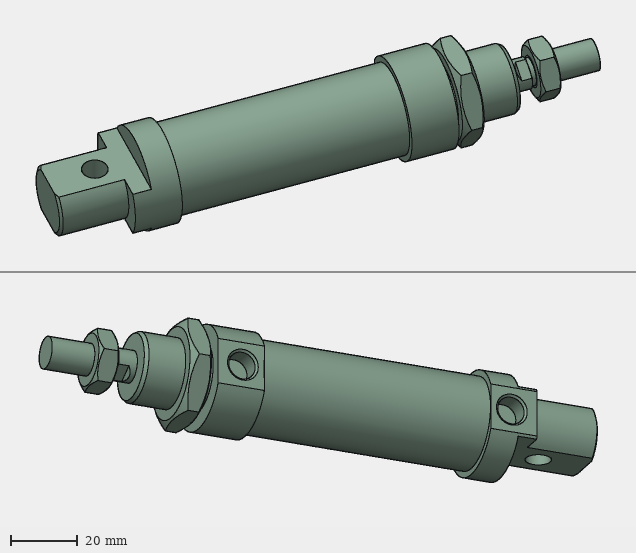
import cadquery as cq
import math

TOTAL_LENGTH = 176.0

BODY_DIA = 29.0
CAP_DIA = 33.0
NECK_DIA = 22.0
ROD_DIA = 10.0
ROD_GROOVE_DIA = 8.8
PORT_DIA = 8.6
PORT_MOUTH_DIA = 10.0
PIVOT_HOLE_DIA = 8.0

LUG_LENGTH = 21.8
REAR_CAP_FRONT = 37.0
CAP_LENGTH = REAR_CAP_FRONT - LUG_LENGTH
FRONT_CAP_REAR = 110.9
FRONT_CAP_FRONT = FRONT_CAP_REAR + CAP_LENGTH
NECK_END = 148.2
PIVOT_Y = 15.1
REAR_PORT_Y = 30.1
FRONT_PORT_Y = 118.0

LUG_THICKNESS = 16.2
STEP_LENGTH = 6.0
PORT_FLAT_X = -14.8
PORT_DEPTH = 7.0
NECK_CHAMFER_LENGTH = 1.2
NECK_CHAMFER_DEPTH = 0.7
LUG_CHAMFER_LENGTH = 0.7
LUG_CHAMFER_DEPTH = 1.2

MOUNT_NUT_ACROSS_FLATS = 30.1
MOUNT_NUT_REAR = 128.0
MOUNT_NUT_WIDTH = 7.0
LOCK_NUT_ACROSS_FLATS = 17.0
LOCK_NUT_REAR = 155.5
LOCK_NUT_WIDTH = 6.5
NUT_CHAMFER_ANGLE = 30.0
NUT_FACE_RATIO = 0.95

ROD_GROOVE_START = 154.2
WRENCH_ACROSS_FLATS = 8.0
WRENCH_FLAT_LENGTH = 3.3
WRENCH_FLAT_ANGLE = 60.0


def cylinder(diameter, start, end):
    """Solid cylinder on the Y axis from start to end."""
    return (
        cq.Workplane("XZ", origin=(0, start, 0))
        .circle(diameter / 2)
        .extrude(start - end)
    )


def revolved(profile):
    """Turn a closed (radius, y) outline about the Y axis."""
    return cq.Workplane("XY").polyline(profile).close().revolve(360, (0, 0), (0, 1))


def cut_port(housing, y):
    """Cut a chamfered blind port into the port flat, centred at y."""
    port = cq.Workplane("YZ", origin=(PORT_FLAT_X, y, 0)).circle(PORT_DIA / 2).extrude(PORT_DEPTH)
    mouth_depth = (PORT_MOUTH_DIA - PORT_DIA) / 2
    mouth = cq.Workplane(
        cq.Solid.makeCone(
            PORT_MOUTH_DIA / 2, PORT_DIA / 2, mouth_depth,
            cq.Vector(PORT_FLAT_X, y, 0), cq.Vector(1, 0, 0),
        )
    )
    return housing.cut(port).cut(mouth)


def make_cap(start):
    """Cap disc with a flat on its -X side."""
    flat_waste = (
        cq.Workplane("XY", origin=(PORT_FLAT_X, start, 0))
        .box(CAP_DIA, CAP_LENGTH, CAP_DIA, centered=(True, False, True))
        .translate((-CAP_DIA / 2, 0, 0))
    )
    return cylinder(CAP_DIA, start, start + CAP_LENGTH).cut(flat_waste)


def make_lug_end():
    """Rear cap and pivot lug, flattened above and below, with the pivot hole."""
    radius = NECK_DIA / 2
    lug = revolved([
        (0, 0),
        (radius - LUG_CHAMFER_DEPTH, 0),
        (radius, LUG_CHAMFER_LENGTH),
        (radius, LUG_LENGTH),
        (0, LUG_LENGTH),
    ])
    lug_end = make_cap(LUG_LENGTH).union(lug)
    for side in (1, -1):
        waste = cq.Workplane("XY").box(
            CAP_DIA, LUG_LENGTH + STEP_LENGTH, CAP_DIA, centered=(True, False, True)
        )
        lug_end = lug_end.cut(waste.translate((0, 0, side * (LUG_THICKNESS + CAP_DIA) / 2)))
    pivot_hole = (
        cq.Workplane("XY").center(0, PIVOT_Y).circle(PIVOT_HOLE_DIA / 2).extrude(LUG_THICKNESS, both=True)
    )
    return lug_end.cut(pivot_hole)


def make_housing():
    """Barrel, both caps, threaded neck and rear lug, bored for the rod."""
    radius = NECK_DIA / 2
    neck = revolved([
        (0, FRONT_CAP_FRONT),
        (radius, FRONT_CAP_FRONT),
        (radius, NECK_END - NECK_CHAMFER_LENGTH),
        (radius - NECK_CHAMFER_DEPTH, NECK_END),
        (0, NECK_END),
    ])
    housing = (
        make_lug_end()
        .union(cylinder(BODY_DIA, REAR_CAP_FRONT, FRONT_CAP_REAR))
        .union(make_cap(FRONT_CAP_REAR))
        .union(neck)
        .cut(cylinder(ROD_DIA, FRONT_CAP_REAR, NECK_END))
    )
    for y in (REAR_PORT_Y, FRONT_PORT_Y):
        housing = cut_port(housing, y)
    return housing


def make_rod():
    """Piston rod with a groove behind the lock nut and two wrench flats."""
    groove_end = LOCK_NUT_REAR
    rod = (
        cylinder(ROD_DIA, FRONT_CAP_REAR, ROD_GROOVE_START)
        .union(cylinder(ROD_GROOVE_DIA, ROD_GROOVE_START, groove_end))
        .union(cylinder(ROD_DIA, groove_end, TOTAL_LENGTH))
    )
    floor_x = WRENCH_ACROSS_FLATS / 2
    floor_end = ROD_GROOVE_START - WRENCH_FLAT_LENGTH
    outer_x = ROD_DIA
    run_out_end = floor_end - (outer_x - floor_x)
    for angle in (WRENCH_FLAT_ANGLE, WRENCH_FLAT_ANGLE + 180):
        waste = (
            cq.Workplane("XY")
            .polyline([
                (floor_x, ROD_GROOVE_START),
                (floor_x, floor_end),
                (outer_x, run_out_end),
                (outer_x, ROD_GROOVE_START),
            ])
            .close()
            .extrude(ROD_DIA, both=True)
            .rotate((0, 0, 0), (0, 1, 0), -angle)
        )
        rod = rod.cut(waste)
    return rod


def make_nut(across_flats, bore, rear, width):
    """Hex nut with corners on the X axis, both faces chamfered."""
    across_corners = across_flats / math.cos(math.radians(30))
    corner_radius = across_corners / 2
    face_radius = NUT_FACE_RATIO * across_flats / 2
    slope = math.tan(math.radians(NUT_CHAMFER_ANGLE))
    chamfer_length = (corner_radius - face_radius) * slope
    front = rear + width
    hexagon = cq.Workplane("XZ", origin=(0, rear, 0)).polygon(6, across_corners).extrude(-width)
    envelope = revolved([
        (0, rear),
        (face_radius, rear),
        (corner_radius, rear + chamfer_length),
        (corner_radius, front - chamfer_length),
        (face_radius, front),
        (0, front),
    ])
    return hexagon.intersect(envelope).cut(cylinder(bore, rear, front))


housing = make_housing()
rod = make_rod()
mount_nut = make_nut(MOUNT_NUT_ACROSS_FLATS, NECK_DIA, MOUNT_NUT_REAR, MOUNT_NUT_WIDTH)
lock_nut = make_nut(LOCK_NUT_ACROSS_FLATS, ROD_DIA, LOCK_NUT_REAR, LOCK_NUT_WIDTH)

result = cq.Compound.makeCompound([housing.val(), rod.val(), mount_nut.val(), lock_nut.val()])